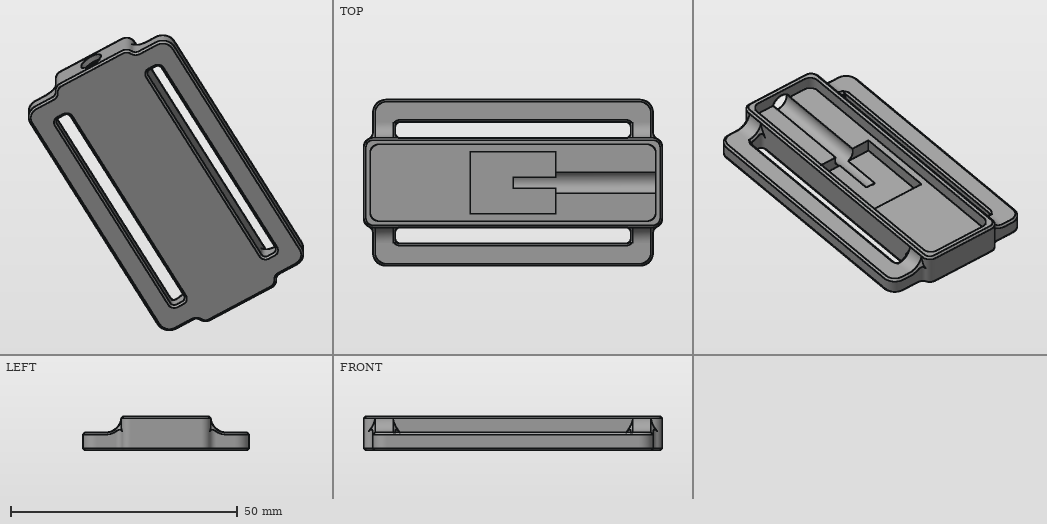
import cadquery as cq

body_length = 66.0
body_width = 19.8
body_height = 7.6
plate_length = 62.0
plate_width = 36.8
plate_height = 4.0

edge_chamfer = 0.5
body_corner_radius = 2.0
plate_corner_radius = 3.0
side_blend_radius = 1.5

gusset_radius = 3.4
gusset_flare = 2.0
gusset_axis_y = body_width / 2 + gusset_radius
gusset_axis_z = plate_height + gusset_radius
gusset_top_z = body_height - edge_chamfer

selection_margin = 0.1

slot_length = 52.0
slot_width = 3.5
slot_corner_radius = 1.0

wall = 1.4
tray_floor_z = 4.6
tray_corner_radius = 2.0

recess_length = 18.8
recess_width = 13.8
recess_floor_z = 1.6

channel_diameter = 5.0
channel_axis_z = body_height / 2


def sharp_block(length, width, height):
    """Block centred on the Z axis and standing on Z = 0."""
    return cq.Workplane("XY").box(length, width, height, centered=(True, True, False))


def rounded_block(length, width, height, corner_radius):
    """Block standing on Z = 0 with rounded vertical edges."""
    return sharp_block(length, width, height).edges("|Z").fillet(corner_radius)


def cut_slots(solid):
    """Cut both strap slots, whose inner walls are flush with the long sides of the body."""
    slot = rounded_block(slot_length, slot_width, body_height, slot_corner_radius)
    for side_y in (-1, 1):
        solid = solid.cut(slot.translate((0, side_y * (body_width + slot_width) / 2, 0)))
    return solid


def make_strap_bars():
    """Flat outer parts of the side plates, beyond the feet of the gussets, with chamfered top edges."""
    plate = rounded_block(plate_length, plate_width, plate_height, plate_corner_radius)
    plate = cut_slots(plate).faces(">Z").chamfer(edge_chamfer)
    return plate.cut(sharp_block(plate_length, 2 * gusset_axis_y, plate_height))


def make_gusset_relief():
    """Round bar along X with the gusset radius, flaring at 45 degrees past both edges of each gusset."""
    outer_x = plate_length / 2 - edge_chamfer
    inner_x = slot_length / 2 + edge_chamfer
    flare_radius = gusset_radius + gusset_flare
    return (
        cq.Workplane("XY")
        .moveTo(-outer_x - gusset_flare, 0)
        .lineTo(-outer_x - gusset_flare, flare_radius)
        .lineTo(-outer_x, gusset_radius)
        .lineTo(-inner_x, gusset_radius)
        .lineTo(-inner_x + gusset_flare, flare_radius)
        .lineTo(inner_x - gusset_flare, flare_radius)
        .lineTo(inner_x, gusset_radius)
        .lineTo(outer_x, gusset_radius)
        .lineTo(outer_x + gusset_flare, flare_radius)
        .lineTo(outer_x + gusset_flare, 0)
        .close()
        .revolve(360, (0, 0, 0), (1, 0, 0))
    )


def make_gussets():
    """Concave gussets between body and strap bars, blended into the body corners."""
    web = sharp_block(plate_length, 2 * gusset_axis_y, gusset_top_z)
    core = rounded_block(body_length, body_width, gusset_top_z, body_corner_radius)
    corner_box = cq.selectors.BoxSelector(
        (-plate_length / 2 - selection_margin, -body_width / 2 - selection_margin, 0),
        (plate_length / 2 + selection_margin, body_width / 2 + selection_margin, gusset_top_z),
    )
    gussets = web.union(core).edges("|Z").edges(corner_box).fillet(side_blend_radius)
    gussets = cut_slots(gussets)
    relief = make_gusset_relief()
    for side_y in (-1, 1):
        gussets = gussets.cut(relief.translate((0, side_y * gusset_axis_y, gusset_axis_z)))
    return gussets


def make_body():
    """Solid central body with a chamfered top edge."""
    body = rounded_block(body_length, body_width, body_height, body_corner_radius)
    return body.faces(">Z").chamfer(edge_chamfer)


def cut_tray(part):
    """Cut the open tray and the deeper rectangular recess in its floor."""
    tray_length = body_length - 2 * wall
    tray_width = body_width - 2 * wall
    tray = rounded_block(tray_length, tray_width, body_height, tray_corner_radius)
    recess = sharp_block(recess_length, recess_width, body_height)
    part = part.cut(tray.translate((0, 0, tray_floor_z)))
    return part.cut(recess.translate((0, 0, recess_floor_z)))


def cut_channel(part):
    """Cut the round channel from the middle of the part out through the +X wall."""
    channel = cq.Workplane("YZ").center(0, channel_axis_z).circle(channel_diameter / 2)
    return part.cut(channel.extrude(body_length))


result = make_strap_bars().union(make_gussets()).union(make_body())
result = result.faces("<Z").chamfer(edge_chamfer)
result = cut_tray(result)
result = cut_channel(result)